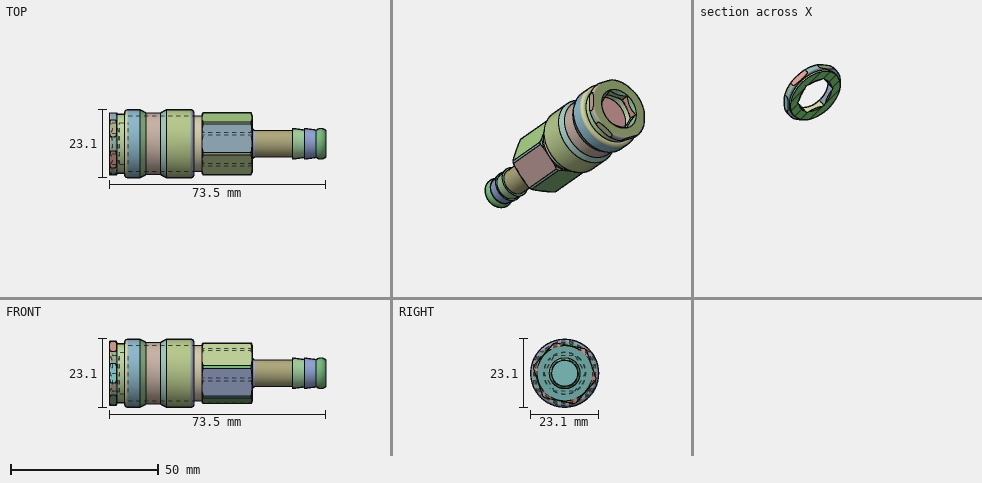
import cadquery as cq
import math


sleeve_start = 5.15
sleeve_end = 28.75
nut_start = 31.45
nut_end = 48.5
barb_start = 62.2
barb_pitch = 4.0
barb_count = 2
total_length = 73.5

collar_diameter = 22.05
collar_length = 2.5
collar_face_diameter = 20.7
collar_edge_length = 0.65
collar_flats = 21.0
collar_rotation = 30.0
front_neck_diameter = 20.1

shank_diameter = 18.95

socket_flats = 12.1
socket_mouth_diameter = 14.3
socket_length = 3.45
lead_in_angle = 45.0
lead_out_angle = 60.0
bore_diameter = 14.05
bore_depth = 6.25

sleeve_diameter = 23.15
sleeve_fillet = 1.1
band_diameter = 21.0
band_start = 12.4
band_end = 17.35
band_slope_length = 2.0

nut_flats = 19.0
nut_corner_diameter = 21.45
nut_front_diameter = 20.1
nut_front_chamfer = 0.4
nut_back_diameter = 18.75
nut_back_chamfer = 0.45
nut_rotation = -11.5

tube_diameter = 9.1
tube_fillet = 0.95
barb_diameter = 10.5
barb_low_diameter = 9.4
tip_diameter = 8.8
tip_bulge_position = 0.5


def hex_prism(flats, start, length, rotation=0.0):
    """Hexagonal prism along X; at zero rotation one corner points along +Y."""
    prism = cq.Workplane("YZ").polygon(6, flats / math.cos(math.pi / 6)).extrude(length)
    return prism.rotate((0, 0, 0), (1, 0, 0), rotation).translate((start, 0, 0))


def revolve_about_x(profile):
    """Solid of revolution from a closed XY half profile."""
    return profile.close().revolve(360, (0, 0, 0), (1, 0, 0))


def cylinder(diameter, start, end):
    return cq.Workplane("YZ", origin=(start, 0, 0)).circle(diameter / 2).extrude(end - start)


def make_collar():
    """Round-edged ring trimmed by six flats."""
    outer_radius = collar_diameter / 2
    face_radius = collar_face_diameter / 2
    profile = (
        cq.Workplane("XY")
        .lineTo(0, face_radius)
        .radiusArc((collar_edge_length, outer_radius), outer_radius - face_radius)
        .lineTo(collar_length - collar_edge_length, outer_radius)
        .radiusArc((collar_length, face_radius), outer_radius - face_radius)
        .lineTo(collar_length, 0)
    )
    return revolve_about_x(profile).intersect(hex_prism(collar_flats, 0, collar_length, collar_rotation))


def make_nut():
    """Hexagon with turned-down corners and conical ends."""
    corner_radius = nut_corner_diameter / 2
    profile = (
        cq.Workplane("XY")
        .moveTo(nut_start, 0)
        .lineTo(nut_start, nut_front_diameter / 2)
        .lineTo(nut_start + nut_front_chamfer, corner_radius)
        .lineTo(nut_end - nut_back_chamfer, corner_radius)
        .lineTo(nut_end, nut_back_diameter / 2)
        .lineTo(nut_end, 0)
    )
    prism = hex_prism(nut_flats, nut_start, nut_end - nut_start, nut_rotation)
    return revolve_about_x(profile).intersect(prism)


def make_hose_barb():
    """Tube blended into the nut, with saw-tooth barbs and a rounded tip."""
    tube_radius = tube_diameter / 2
    barb_radius = barb_diameter / 2
    profile = (
        cq.Workplane("XY")
        .moveTo(nut_end, 0)
        .lineTo(nut_end, tube_radius + tube_fillet)
        .radiusArc((nut_end + tube_fillet, tube_radius), -tube_fillet)
        .lineTo(barb_start, tube_radius)
    )
    for index in range(barb_count):
        start = barb_start + index * barb_pitch
        profile = (
            profile.lineTo(start, barb_radius)
            .lineTo(start + barb_pitch, barb_low_diameter / 2)
            .lineTo(start + barb_pitch, tube_radius)
        )
    tip_start = barb_start + barb_count * barb_pitch
    bulge = tip_start + tip_bulge_position * (total_length - tip_start)
    profile = (
        profile.threePointArc((bulge, barb_radius), (total_length, tip_diameter / 2))
        .lineTo(total_length, 0)
    )
    return revolve_about_x(profile)


def make_socket():
    """Hex socket with a cone at both ends, opening into a round blind bore."""
    mouth_radius = socket_mouth_diameter / 2
    bore_radius = bore_diameter / 2
    throat_radius = socket_flats / 2
    lead_in = (mouth_radius - throat_radius) / math.tan(math.radians(lead_in_angle))
    lead_out = (bore_radius - throat_radius) / math.tan(math.radians(lead_out_angle))
    front_cone = revolve_about_x(
        cq.Workplane("XY").lineTo(0, mouth_radius).lineTo(lead_in, throat_radius).lineTo(lead_in, 0)
    )
    back_bore = revolve_about_x(
        cq.Workplane("XY")
        .moveTo(socket_length - lead_out, 0)
        .lineTo(socket_length - lead_out, throat_radius)
        .lineTo(socket_length, bore_radius)
        .lineTo(bore_depth, bore_radius)
        .lineTo(bore_depth, 0)
    )
    return hex_prism(socket_flats, 0, socket_length).union(front_cone).union(back_bore)


def make_core():
    core = make_collar()
    core = core.union(cylinder(front_neck_diameter, collar_length, sleeve_start))
    core = core.union(cylinder(shank_diameter, sleeve_start, nut_start))
    core = core.union(make_nut())
    core = core.union(make_hose_barb())
    return core.cut(make_socket())


def make_sleeve():
    """Grip ring with rounded ends and a sunken middle band."""
    outer_radius = sleeve_diameter / 2
    band_radius = band_diameter / 2
    bore_radius = shank_diameter / 2
    profile = (
        cq.Workplane("XY")
        .moveTo(sleeve_start, bore_radius)
        .lineTo(sleeve_start, outer_radius - sleeve_fillet)
        .radiusArc((sleeve_start + sleeve_fillet, outer_radius), sleeve_fillet)
        .lineTo(band_start - band_slope_length, outer_radius)
        .lineTo(band_start, band_radius)
        .lineTo(band_end, band_radius)
        .lineTo(band_end + band_slope_length, outer_radius)
        .lineTo(sleeve_end - sleeve_fillet, outer_radius)
        .radiusArc((sleeve_end, outer_radius - sleeve_fillet), sleeve_fillet)
        .lineTo(sleeve_end, bore_radius)
    )
    return revolve_about_x(profile)


core = make_core()
sleeve = make_sleeve()

result = cq.Compound.makeCompound([core.val(), sleeve.val()])